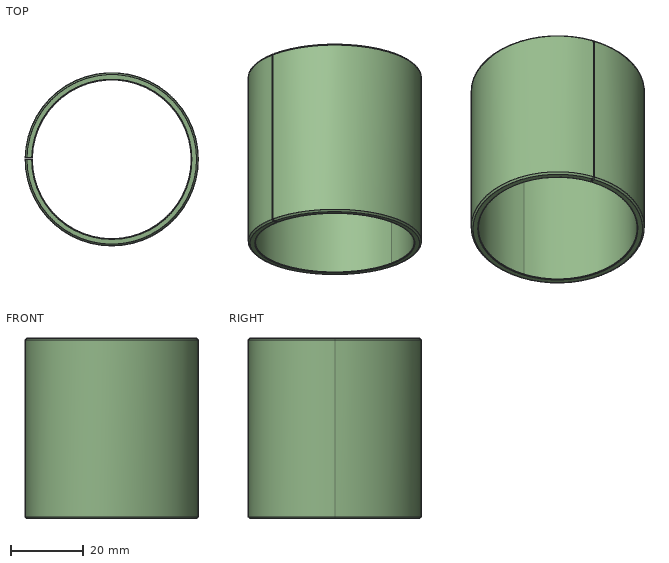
import cadquery as cq

length = 50.0
outer_diameter = 48.0
wall = 2.0

outer_chamfer = 0.5
inner_chamfer = 0.2

slit_width = 0.4

outer_radius = outer_diameter / 2
inner_radius = outer_radius - wall
half_length = length / 2


def make_sleeve():
    """Closed tube revolved from its chamfered wall section."""
    wall_section = (
        cq.Workplane("XZ")
        .moveTo(inner_radius, -half_length + inner_chamfer)
        .lineTo(inner_radius + inner_chamfer, -half_length)
        .lineTo(outer_radius - outer_chamfer, -half_length)
        .lineTo(outer_radius, -half_length + outer_chamfer)
        .lineTo(outer_radius, half_length - outer_chamfer)
        .lineTo(outer_radius - outer_chamfer, half_length)
        .lineTo(inner_radius + inner_chamfer, half_length)
        .lineTo(inner_radius, half_length - inner_chamfer)
        .close()
    )
    return wall_section.revolve(360, (0, 0, 0), (0, 1, 0))


def make_slit_cutter():
    """Thin slab on the +Y side of the XZ plane, reaching from the axis past the -X wall."""
    slab = cq.Workplane("XY").box(outer_diameter, slit_width, 2 * length, centered=(True, False, True))
    return slab.translate((-outer_radius, 0, 0))


result = make_sleeve().cut(make_slit_cutter())